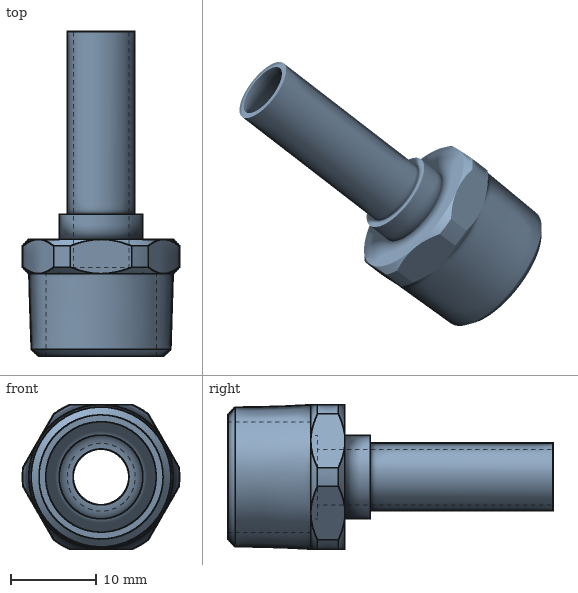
import cadquery as cq

thread_chamfer_end = 0.85
gauge_plane = 4.6
hex_start = 9.75
hex_end = 13.75
collar_end = 16.75
tube_end = 38.2

gauge_radius = 8.33
taper_per_length = 1 / 32
thread_face_radius = 7.3
collar_radius = 4.93
tube_radius = 8.0 / 2

across_flats = 17.0
corner_radius = 9.25
hex_chamfer_height = 0.75
flat_alignment_angle = 30

large_bore_radius = 6.5
large_bore_depth = 9.75
recess_radius = collar_radius
recess_depth = 10.5
through_bore_radius = 6.55 / 2


def revolve_about_y(points):
    """Turn a closed (radius, station) outline around the part's Y axis."""
    return cq.Workplane("XY").polyline(points).close().revolve(360, (0, 0, 0), (0, 1, 0))


def cylinder(radius, start, end):
    """Make a cylinder on the Y axis between two stations."""
    return revolve_about_y([(0, start), (radius, start), (radius, end), (0, end)])


def thread_radius(station):
    """Radius of the tapered thread envelope at a station."""
    return gauge_radius + (station - gauge_plane) * taper_per_length


def make_thread():
    """Chamfered, tapered thread envelope."""
    return revolve_about_y([
        (0, 0),
        (thread_face_radius, 0),
        (thread_radius(thread_chamfer_end), thread_chamfer_end),
        (thread_radius(hex_start), hex_start),
        (0, hex_start),
    ])


def make_hexagon():
    """Hexagon with flats on +Z and -Z, its corners turned and chamfered."""
    prism = (
        cq.Workplane("XZ", origin=(0, hex_end, 0))
        .polygon(6, across_flats, circumscribed=True)
        .extrude(hex_end - hex_start)
        .rotate((0, 0, 0), (0, 1, 0), flat_alignment_angle)
    )
    face_radius = across_flats / 2
    turned_blank = revolve_about_y([
        (0, hex_start),
        (face_radius, hex_start),
        (corner_radius, hex_start + hex_chamfer_height),
        (corner_radius, hex_end - hex_chamfer_height),
        (face_radius, hex_end),
        (0, hex_end),
    ])
    return prism.intersect(turned_blank)


body = (
    make_thread()
    .union(make_hexagon())
    .union(cylinder(collar_radius, hex_end, collar_end))
    .union(cylinder(tube_radius, collar_end, tube_end))
)

bore = (
    cylinder(large_bore_radius, 0, large_bore_depth)
    .union(cylinder(recess_radius, 0, recess_depth))
    .union(cylinder(through_bore_radius, 0, tube_end))
)

result = body.cut(bore)